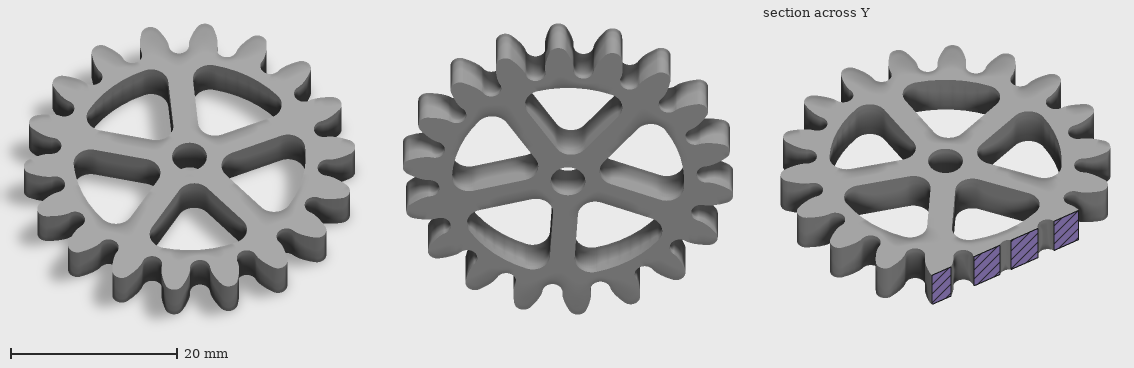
import cadquery as cq
import math

tooth_count = 18
overall_size = 39.85
pressure_angle = math.radians(20)
first_tooth_angle = math.radians(-5)
crown_radius = 1.15
crown_start_radius = 19.4
dedendum_factor = 1.25

crown_center_radius = (overall_size / 2 - crown_radius) / math.cos(first_tooth_angle)
tip_radius = crown_center_radius + crown_radius
module = tip_radius / (tooth_count / 2 + 1)
pitch_radius = module * tooth_count / 2
root_radius = pitch_radius - dedendum_factor * module
base_radius = pitch_radius * math.cos(pressure_angle)
tooth_pitch = 2 * math.pi / tooth_count

thickness = 5.0
bore_diameter = 4.2
spoke_count = 5
spoke_width = 3.0
rim_inner_radius = 14.0
window_rounding = 2.07

FLANK_POINTS = 8


def polar(radius, angle):
    return (radius * math.cos(angle), radius * math.sin(angle))


def involute(angle):
    return math.tan(angle) - angle


def tooth_half_angle(radius):
    """Half the angle a tooth spans at a radius on or outside the base circle."""
    flank_angle = math.acos(min(1, base_radius / radius))
    return tooth_pitch / 4 + involute(pressure_angle) - involute(flank_angle)


def gear_blank():
    """Gear disc whose flanks run radially from the base circle into full-round gaps."""
    gap_half_angle = tooth_pitch / 2 - tooth_half_angle(base_radius)
    gap_center_radius = root_radius / (1 - math.sin(gap_half_angle))
    gap_end_radius = gap_center_radius * math.cos(gap_half_angle)
    crown_half_angle = tooth_half_angle(crown_start_radius)
    radial_step = (crown_start_radius - base_radius) / (FLANK_POINTS - 1)
    flank_radii = [base_radius + i * radial_step for i in range(FLANK_POINTS)]

    root_half_angle = tooth_half_angle(base_radius)
    start_point = polar(gap_end_radius, first_tooth_angle - root_half_angle)
    outline = cq.Workplane("XY").moveTo(*start_point)
    for i in range(tooth_count):
        center = first_tooth_angle + i * tooth_pitch
        gap_center = center + tooth_pitch / 2
        rising = [polar(r, center - tooth_half_angle(r)) for r in flank_radii]
        falling = [polar(r, center + tooth_half_angle(r)) for r in reversed(flank_radii)]
        outline = (
            outline.lineTo(*rising[0])
            .spline(rising[1:], includeCurrent=True)
            .threePointArc(
                polar(tip_radius, center),
                polar(crown_start_radius, center + crown_half_angle),
            )
            .spline(falling[1:], includeCurrent=True)
            .lineTo(*polar(gap_end_radius, center + root_half_angle))
            .threePointArc(
                polar(root_radius, gap_center),
                polar(gap_end_radius, gap_center + gap_half_angle),
            )
        )
    return outline.close().extrude(thickness)


def spoke_window():
    """Rounded opening centred on +Y, between two neighbouring spokes and the rim."""
    half_sector = math.pi / spoke_count
    apex_radius = spoke_width / 2 / math.sin(half_sector)
    corner_angle = half_sector - math.asin(spoke_width / 2 / rim_inner_radius)
    corner_x = rim_inner_radius * math.sin(corner_angle)
    corner_y = rim_inner_radius * math.cos(corner_angle)
    return (
        cq.Workplane("XY")
        .moveTo(0, apex_radius)
        .lineTo(corner_x, corner_y)
        .threePointArc((0, rim_inner_radius), (-corner_x, corner_y))
        .close()
        .extrude(thickness)
        .edges("|Z")
        .fillet(window_rounding)
    )


result = gear_blank()
window = spoke_window()
for i in range(spoke_count):
    result = result.cut(window.rotate((0, 0, 0), (0, 0, 1), i * 360 / spoke_count))
bore = cq.Workplane("XY").circle(bore_diameter / 2).extrude(thickness)
result = result.cut(bore)